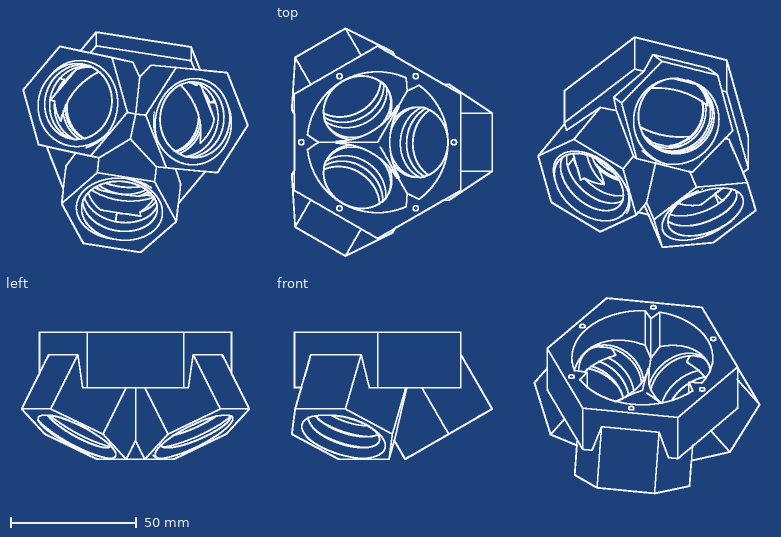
import cadquery as cq
import math

overall_height = 50.52
tube_count = 3
tube_tilt = 30
tube_spacing = 360 / tube_count

collar_flats = 66.2
collar_height = 22
pocket_radius = 28
rib_tip_radius = 23.5
rib_half_angle = 34
screw_count = 6
screw_diameter = 2.1
screw_circle_radius = 30.3
screw_depth = 10

tube_flats = 40
tube_length = 25
mouth_radius = 28.253
mouth_z = -overall_height + tube_flats / 2 * math.sin(math.radians(tube_tilt))

lip_diameter = 28
lip_length = 2
bore_radius = 15
thread_pitch = 5
thread_depth = 4.3
thread_groove_width = 4.9
thread_overlap = 0.1
thread_length = 15

post_waist = 4.85
post_wall_radius = 28.4
post_edge_radius = 4.85
post_top = -17.5
post_bottom = -28
post_reach = 16.4

span = 120


def around_axis(shape):
    pattern = shape
    for index in range(1, tube_count):
        pattern = pattern.union(shape.rotate((0, 0, 0), (0, 0, 1), tube_spacing * index))
    return pattern


def hexagon(flats, height):
    corner_diameter = flats / math.cos(math.radians(30))
    prism = cq.Workplane("XY").polygon(6, corner_diameter).extrude(height)
    return prism.rotate((0, 0, 0), (0, 0, 1), 30)


def tilt_into_place(shape):
    return shape.rotate((0, 0, 0), (0, 1, 0), -tube_tilt).translate((mouth_radius, 0, mouth_z))


def collar_block():
    return hexagon(collar_flats, collar_height).translate((0, 0, -collar_height))


def pocket_cylinder():
    return cq.Workplane("XY").circle(pocket_radius).extrude(-overall_height)


def pocket_above_floors():
    half_sector = math.radians(tube_spacing / 2)
    side_x = span * math.cos(half_sector)
    side_y = span * math.sin(half_sector)
    sector = (
        cq.Workplane("XY")
        .polyline([(0, 0), (side_x, -side_y), (span, -side_y), (span, side_y), (side_x, side_y)])
        .close()
        .extrude(-overall_height)
    )
    above_floor = cq.Workplane("XY").workplane(offset=tube_length).rect(span, span).extrude(span)
    one_part = pocket_cylinder().intersect(sector).intersect(tilt_into_place(above_floor))
    return around_axis(one_part)


def rib():
    root_radius = (pocket_radius + collar_flats / 2) / 2
    root_half_width = (root_radius - rib_tip_radius) * math.tan(math.radians(rib_half_angle))
    wedge = (
        cq.Workplane("XY")
        .polyline([(rib_tip_radius, 0), (root_radius, root_half_width), (root_radius, -root_half_width)])
        .close()
        .extrude(-collar_height)
    )
    return wedge.rotate((0, 0, 0), (0, 0, 1), tube_spacing / 2)


def thread_groove():
    inner_radius = bore_radius - thread_overlap
    half_width = thread_groove_width / 2 * (1 + thread_overlap / thread_depth)
    helix = cq.Wire.makeHelix(thread_pitch, thread_length, inner_radius)
    profile = (
        cq.Workplane("XZ")
        .polyline([
            (inner_radius, -half_width),
            (bore_radius + thread_depth, 0),
            (inner_radius, half_width),
        ])
        .close()
    )
    groove = profile.sweep(cq.Workplane(obj=helix), isFrenet=True)
    return groove.translate((0, 0, -thread_pitch / 2))


def threaded_bore():
    lip = cq.Workplane("XY").circle(lip_diameter / 2).extrude(tube_length + lip_length)
    bore = cq.Workplane("XY").circle(bore_radius).extrude(tube_length - lip_length)
    return tilt_into_place(lip.union(bore).union(thread_groove()))


def central_post():
    wall_axis_x = post_waist + post_wall_radius
    column = (
        cq.Workplane("XY")
        .workplane(offset=post_bottom)
        .circle(post_reach)
        .extrude(post_top - post_bottom)
    )
    wall_cutter = (
        cq.Workplane("XZ")
        .moveTo(wall_axis_x, post_bottom)
        .lineTo(post_waist, post_bottom)
        .lineTo(post_waist, post_top - post_edge_radius)
        .radiusArc((post_waist - post_edge_radius, post_top), -post_edge_radius)
        .lineTo(wall_axis_x, post_top)
        .close()
        .revolve(360, (wall_axis_x, 0, 0), (wall_axis_x, 1, 0))
    )
    return column.cut(around_axis(wall_cutter))


def screw_holes():
    return (
        cq.Workplane("XY")
        .polarArray(screw_circle_radius, 0, 360, screw_count)
        .circle(screw_diameter / 2)
        .extrude(-screw_depth)
    )


tubes = around_axis(tilt_into_place(hexagon(tube_flats, tube_length)))
body = collar_block().union(tubes)
body = body.cut(pocket_above_floors()).cut(around_axis(threaded_bore()))

collar_wall = collar_block().cut(pocket_cylinder()).union(around_axis(rib()))
body = body.union(collar_wall).union(central_post())

result = body.cut(screw_holes())